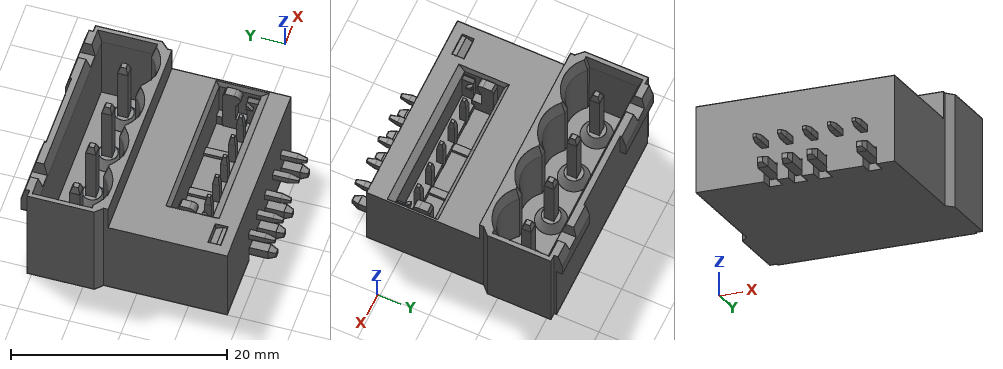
import cadquery as cq


PITCH = 5.0
HALF_PITCH = PITCH / 2
POST_Y = 15.4
POST_COUNT = 4
POST_XS = [(i - (POST_COUNT - 1) / 2) * PITCH for i in range(POST_COUNT)]
TAIL_XS = [-HALF_PITCH, 0, HALF_PITCH, POST_XS[-1]]

BODY_HALF_WIDTH = 10.0
BODY_HEIGHT = 8.57
SHELL_FRONT_Y = 11.55
SHELL_BACK_Y = 19.42
SHELL_HEIGHT = 11.25
FLANGE_WIDTH = 21.4
FLANGE_HALF_WIDTH = FLANGE_WIDTH / 2
FLANGE_SLANT = FLANGE_HALF_WIDTH - BODY_HALF_WIDTH
FLANGE_FRONT_Y = 11.97
FLANGE_BACK_Y = 19.17

LUG_INNER_X = 3.98
LUG_BOTTOM_Z = 8.24
LUG_SLOPE_Z = 9.72
LUG_BACK_Y = 20.0
LUG_TOP_Y = 19.58

CAVITY_FLOOR_Z = 2.7
CAVITY_HALF_WIDTH = 9.97
CAVITY_BACK_Y = 18.38
CAVITY_CUSP_Y = 13.43
SCALLOP_RADIUS = 2.95
LEAD_IN_HEIGHT = 1.4
LEAD_IN_SIDE = 0.15
CAVITY_SIDE_DRAFT = 0.14
LEAD_IN_BACK = 0.43
BOSS_BASE_RADIUS = 1.55
BOSS_TOP_RADIUS = 0.92
BOSS_HEIGHT = 0.95

NOTCH_DEPTH = 1.24
NOTCH_FLOOR_WIDTH = 1.42
NOTCH_TOP_WIDTH = 1.85

SOCKET_CENTER_X = 1.95
SOCKET_HALF_WIDTH = 7.47
SOCKET_SIDE_DRAFT = 0.14
SOCKET_FRONT_Y = 2.77
SOCKET_BACK_Y = 6.82
SOCKET_FLOOR_Z = 4.5
SOCKET_CHAMFER_HEIGHT = 0.43
SOCKET_SIDE_CHAMFER = 0.25
SOCKET_BACK_CHAMFER = 0.38
SOCKET_FRONT_CHAMFER = 0.72
TRENCH_FRONT_Y = 4.2
TRENCH_DEPTH = 0.68
RIB_HEIGHT = 0.34
RIB_WIDTH = 0.76
RIB_XS = [0, PITCH]

HOOK_THICKNESS = 0.88
HOOK_FRONT_Y = 4.45
HOOK_BACK_Y = 6.19
HOOK_TOP_Z = 8.5
HOOK_NOSE_RADIUS = 0.6
HOOK_BACK_CHAMFER = 0.2
HOOK_BACK_CHAMFER_HEIGHT = 0.4
HOOK_UNDERCUT = 0.47
HOOK_UNDERCUT_Z = 6.98
STEP_FRONT_Y = 3.94
STEP_HEIGHT = 0.68
COLUMN_THICKNESS = 0.79
COLUMN_FRONT_Y = 6.25
COLUMN_TOP_Z = 4.9
RIDGE_TOP_Z = 7.88
RIDGE_THICKNESS = 0.43
RIDGE_SLOPE = 0.32
WEDGE_THICKNESS = 0.85
WEDGE_LENGTH = 0.63

MARKER_X = -7.76
MARKER_LENGTH = 2.3
MARKER_FRONT_Y = 1.0
MARKER_SLOPE_Y = 1.42
MARKER_BACK_Y = 2.2
MARKER_STEP_DEPTH = 0.22
MARKER_DEPTH = 0.58
MARKER_DRAFT = 0.1

POWER_SIZE = 1.0
POWER_Z = 1.2
POWER_TOP_Z = 10.5
POWER_TIP_SIZE = 0.52
POWER_TIP_LENGTH = 0.72
TAIL_LENGTH = 2.5
JOG_START_Y = 13.6
JOG_END_Y = 2.25
SLOT_WIDTH = 1.33
SLOT_DEPTH = 1.35

SIGNAL_COUNT = 5
SIGNAL_SIZE = 0.65
SIGNAL_Y = 3.92
SIGNAL_Z = 3.7
SIGNAL_TOP_Z = 7.88
SIGNAL_TIP_SIZE = 0.34
SIGNAL_TIP_LENGTH = 0.92


def box(x0, x1, y0, y1, z0, z1):
    return cq.Workplane("XY").box(x1 - x0, y1 - y0, z1 - z0, centered=False).translate((x0, y0, z0))


def tapered_box(low, high, z0, z1):
    """Straight-sided loft between two (x0, x1, y0, y1) rectangles at heights z0 and z1."""
    def outline(rectangle, z):
        x0, x1, y0, y1 = rectangle
        return cq.Wire.makePolygon([(x0, y0, z), (x1, y0, z), (x1, y1, z), (x0, y1, z)], close=True)
    return cq.Workplane(cq.Solid.makeLoft([outline(low, z0), outline(high, z1)], True))


def cone(x, y, z, bottom_radius, top_radius, height):
    return cq.Workplane(cq.Solid.makeCone(bottom_radius, top_radius, height, pnt=cq.Vector(x, y, z)))


def profile_along_x(points, x0, x1):
    """Prism of a (y, z) outline between x0 and x1."""
    return cq.Workplane("YZ").polyline(points).close().extrude(x1 - x0).translate((x0, 0, 0))


def square_pin(size, tip_size, tip_length, length):
    """Upright square bar from Z = 0 with a tapered tip at the top."""
    half, tip = size / 2, tip_size / 2
    shoulder = length - tip_length
    bar = box(-half, half, -half, half, 0, shoulder)
    return bar.union(tapered_box((-half, half, -half, half), (-tip, tip, -tip, tip), shoulder, length))


def tail(pin, start_y, z):
    """Turn an upright pin to point along -Y, starting at start_y."""
    return pin.rotate((0, 0, 0), (1, 0, 0), 90).translate((0, start_y, z))


def power_pin(post_x, tail_x):
    half = POWER_SIZE / 2
    bottom_z = POWER_Z - half
    post = square_pin(POWER_SIZE, POWER_TIP_SIZE, POWER_TIP_LENGTH, POWER_TOP_Z - bottom_z)
    foot = (
        cq.Workplane("XY")
        .polyline([
            (post_x - half, POST_Y + half),
            (post_x + half, POST_Y + half),
            (post_x + half, JOG_START_Y),
            (tail_x + half, JOG_END_Y),
            (tail_x + half, 0),
            (tail_x - half, 0),
            (tail_x - half, JOG_END_Y),
            (post_x - half, JOG_START_Y),
        ])
        .close()
        .extrude(POWER_SIZE)
        .translate((0, 0, bottom_z))
    )
    end = square_pin(POWER_SIZE, POWER_TIP_SIZE, POWER_TIP_LENGTH, TAIL_LENGTH)
    return (
        foot
        .union(post.translate((post_x, POST_Y, bottom_z)))
        .union(tail(end, 0, POWER_Z).translate((tail_x, 0, 0)))
    )


def outer_block():
    block = box(-BODY_HALF_WIDTH, BODY_HALF_WIDTH, 0, SHELL_FRONT_Y, 0, BODY_HEIGHT)
    shell = box(-BODY_HALF_WIDTH, BODY_HALF_WIDTH, SHELL_FRONT_Y, SHELL_BACK_Y, 0, SHELL_HEIGHT)
    flange = (
        cq.Workplane("XY")
        .polyline([
            (-BODY_HALF_WIDTH, FLANGE_FRONT_Y),
            (BODY_HALF_WIDTH, FLANGE_FRONT_Y),
            (FLANGE_HALF_WIDTH, FLANGE_FRONT_Y + FLANGE_SLANT),
            (FLANGE_HALF_WIDTH, FLANGE_BACK_Y),
            (-FLANGE_HALF_WIDTH, FLANGE_BACK_Y),
            (-FLANGE_HALF_WIDTH, FLANGE_FRONT_Y + FLANGE_SLANT),
        ])
        .close()
        .extrude(SHELL_HEIGHT)
    )
    return block.union(shell).union(flange)


def latch_lugs():
    outline = [
        (SHELL_BACK_Y, LUG_BOTTOM_Z),
        (LUG_BACK_Y, LUG_BOTTOM_Z),
        (LUG_BACK_Y, LUG_SLOPE_Z),
        (LUG_TOP_Y, SHELL_HEIGHT),
        (SHELL_BACK_Y, SHELL_HEIGHT),
    ]
    lug = profile_along_x(outline, LUG_INNER_X, BODY_HALF_WIDTH)
    return lug.union(lug.mirror("YZ"))


def header_cavity():
    """Scalloped cavity with a widened lead-in at the rim and a conical boss round each post."""
    lead_z = SHELL_HEIGHT - LEAD_IN_HEIGHT
    middle = CAVITY_HALF_WIDTH + CAVITY_SIDE_DRAFT
    wide = middle + LEAD_IN_SIDE

    def well(front_low, front_high):
        floor = (-CAVITY_HALF_WIDTH, CAVITY_HALF_WIDTH, front_low, CAVITY_BACK_Y)
        lead = (-middle, middle, front_low, CAVITY_BACK_Y)
        rim = (-wide, wide, front_high, CAVITY_BACK_Y + LEAD_IN_BACK)
        shaft = tapered_box(floor, lead, CAVITY_FLOOR_Z, lead_z)
        return shaft.union(tapered_box(lead, rim, lead_z, SHELL_HEIGHT))

    scallops = cq.Workplane("XY")
    for x in POST_XS:
        shaft = cq.Workplane("XY").circle(SCALLOP_RADIUS).extrude(lead_z - CAVITY_FLOOR_Z)
        scallops = scallops.union(shaft.translate((x, POST_Y, CAVITY_FLOOR_Z)))
        scallops = scallops.union(
            cone(x, POST_Y, lead_z, SCALLOP_RADIUS, SCALLOP_RADIUS + LEAD_IN_BACK, LEAD_IN_HEIGHT))
    cavity = well(CAVITY_CUSP_Y, CAVITY_CUSP_Y - LEAD_IN_BACK).union(
        scallops.intersect(well(SHELL_FRONT_Y, SHELL_FRONT_Y)))
    for x in POST_XS:
        cavity = cavity.cut(cone(x, POST_Y, CAVITY_FLOOR_Z, BOSS_BASE_RADIUS, BOSS_TOP_RADIUS, BOSS_HEIGHT))
    return cavity


def rim_notch(x):
    def footprint(width):
        return (x - width / 2, x + width / 2, CAVITY_BACK_Y, LUG_BACK_Y)
    return tapered_box(footprint(NOTCH_FLOOR_WIDTH), footprint(NOTCH_TOP_WIDTH),
                       SHELL_HEIGHT - NOTCH_DEPTH, SHELL_HEIGHT)


def socket_opening():
    left = SOCKET_CENTER_X - SOCKET_HALF_WIDTH
    right = SOCKET_CENTER_X + SOCKET_HALF_WIDTH
    drafted_left = left - SOCKET_SIDE_DRAFT
    drafted_right = right + SOCKET_SIDE_DRAFT
    floor = (left, right, SOCKET_FRONT_Y, SOCKET_BACK_Y)
    neck = (drafted_left, drafted_right, SOCKET_FRONT_Y, SOCKET_BACK_Y)
    rim = (drafted_left - SOCKET_SIDE_CHAMFER, drafted_right + SOCKET_SIDE_CHAMFER,
           SOCKET_FRONT_Y - SOCKET_FRONT_CHAMFER, SOCKET_BACK_Y + SOCKET_BACK_CHAMFER)
    neck_z = BODY_HEIGHT - SOCKET_CHAMFER_HEIGHT
    opening = tapered_box(floor, neck, SOCKET_FLOOR_Z, neck_z)
    opening = opening.union(tapered_box(neck, rim, neck_z, BODY_HEIGHT))
    trench_z = SOCKET_FLOOR_Z - TRENCH_DEPTH
    opening = opening.union(box(left, right, TRENCH_FRONT_Y, SOCKET_BACK_Y, trench_z, SOCKET_FLOOR_Z))
    for x in RIB_XS:
        opening = opening.cut(box(x - RIB_WIDTH / 2, x + RIB_WIDTH / 2, TRENCH_FRONT_Y, SOCKET_BACK_Y,
                                  trench_z, trench_z + RIB_HEIGHT))
    return opening


def socket_end_features():
    """Latch hook, corner column and guide ridge standing at both end walls of the socket."""
    wall = SOCKET_CENTER_X + SOCKET_HALF_WIDTH
    base_z = SOCKET_FLOOR_Z - TRENCH_DEPTH
    nose_z = HOOK_TOP_Z - HOOK_NOSE_RADIUS
    hook = (
        cq.Workplane("YZ")
        .moveTo(HOOK_BACK_Y, base_z)
        .lineTo(HOOK_BACK_Y, HOOK_TOP_Z - HOOK_BACK_CHAMFER_HEIGHT)
        .lineTo(HOOK_BACK_Y - HOOK_BACK_CHAMFER, HOOK_TOP_Z)
        .lineTo(HOOK_FRONT_Y + HOOK_NOSE_RADIUS, HOOK_TOP_Z)
        .radiusArc((HOOK_FRONT_Y, nose_z), -HOOK_NOSE_RADIUS)
        .lineTo(HOOK_FRONT_Y + HOOK_UNDERCUT, HOOK_UNDERCUT_Z)
        .lineTo(HOOK_FRONT_Y + HOOK_UNDERCUT, base_z)
        .close()
        .extrude(HOOK_THICKNESS)
        .translate((wall - HOOK_THICKNESS, 0, 0))
    )
    step = box(wall - HOOK_THICKNESS, wall, STEP_FRONT_Y, HOOK_BACK_Y, base_z, SOCKET_FLOOR_Z + STEP_HEIGHT)
    column = box(wall - COLUMN_THICKNESS, wall, COLUMN_FRONT_Y, SOCKET_BACK_Y, base_z, COLUMN_TOP_Z)
    ridge = (
        cq.Workplane("XZ")
        .polyline([
            (wall, SOCKET_FLOOR_Z),
            (wall, RIDGE_TOP_Z),
            (wall - RIDGE_THICKNESS + RIDGE_SLOPE, RIDGE_TOP_Z),
            (wall - RIDGE_THICKNESS, RIDGE_TOP_Z - RIDGE_SLOPE),
            (wall - RIDGE_THICKNESS, SOCKET_FLOOR_Z),
        ])
        .close()
        .extrude(SOCKET_FRONT_Y - STEP_FRONT_Y)
        .translate((0, SOCKET_FRONT_Y, 0))
    )
    wedge_foot_z = RIDGE_TOP_Z - RIDGE_SLOPE - WEDGE_LENGTH
    wedge = profile_along_x(
        [(STEP_FRONT_Y, wedge_foot_z), (STEP_FRONT_Y, wedge_foot_z + WEDGE_LENGTH),
         (STEP_FRONT_Y - WEDGE_LENGTH, wedge_foot_z)],
        wall - WEDGE_THICKNESS, wall)
    end = hook.union(step).union(column).union(ridge).union(wedge)
    return end.union(end.mirror("YZ", (SOCKET_CENTER_X, 0, 0)))


def marker_recess():
    outline = [
        (MARKER_FRONT_Y, BODY_HEIGHT),
        (MARKER_FRONT_Y, BODY_HEIGHT - MARKER_STEP_DEPTH),
        (MARKER_SLOPE_Y, BODY_HEIGHT - MARKER_STEP_DEPTH),
        (MARKER_BACK_Y, BODY_HEIGHT - MARKER_DEPTH),
        (MARKER_BACK_Y, BODY_HEIGHT),
    ]
    left = MARKER_X - MARKER_LENGTH / 2
    right = MARKER_X + MARKER_LENGTH / 2
    rim = (left, right, MARKER_FRONT_Y, MARKER_BACK_Y)
    bottom = (left + MARKER_DRAFT, right - MARKER_DRAFT, MARKER_FRONT_Y, MARKER_BACK_Y - MARKER_DRAFT)
    walls = tapered_box(bottom, rim, BODY_HEIGHT - MARKER_DEPTH, BODY_HEIGHT)
    return profile_along_x(outline, left, right).intersect(walls)


def tail_slot(x):
    """Slot round a power tail, open to the front and the base and level with the top of the tail."""
    return box(x - SLOT_WIDTH / 2, x + SLOT_WIDTH / 2, 0, SLOT_DEPTH, 0, POWER_Z + POWER_SIZE / 2)


def signal_pin(x):
    """Angled contact moulded into the housing."""
    half = SIGNAL_SIZE / 2
    bottom_z = SIGNAL_Z - half
    upright = square_pin(SIGNAL_SIZE, SIGNAL_TIP_SIZE, SIGNAL_TIP_LENGTH, SIGNAL_TOP_Z - bottom_z)
    level = square_pin(SIGNAL_SIZE, SIGNAL_TIP_SIZE, SIGNAL_TIP_LENGTH, SIGNAL_Y + TAIL_LENGTH)
    pin = upright.translate((0, SIGNAL_Y, bottom_z)).union(tail(level, SIGNAL_Y, SIGNAL_Z))
    return pin.translate((x, 0, 0))


def build_housing(power_pins):
    housing = outer_block().union(latch_lugs()).cut(header_cavity())
    for x in (POST_XS[0], POST_XS[-1]):
        housing = housing.cut(rim_notch(x))
    housing = housing.cut(socket_opening()).union(socket_end_features()).cut(marker_recess())
    for x in TAIL_XS:
        housing = housing.cut(tail_slot(x))
    for i in range(SIGNAL_COUNT):
        x = SOCKET_CENTER_X + (i - (SIGNAL_COUNT - 1) / 2) * HALF_PITCH
        housing = housing.union(signal_pin(x))
    for pin in power_pins:
        housing = housing.cut(pin)
    return housing


power_pins = [power_pin(post_x, tail_x) for post_x, tail_x in zip(POST_XS, TAIL_XS)]
housing = build_housing(power_pins)

result = cq.Compound.makeCompound([housing.val(), *[pin.val() for pin in power_pins]])